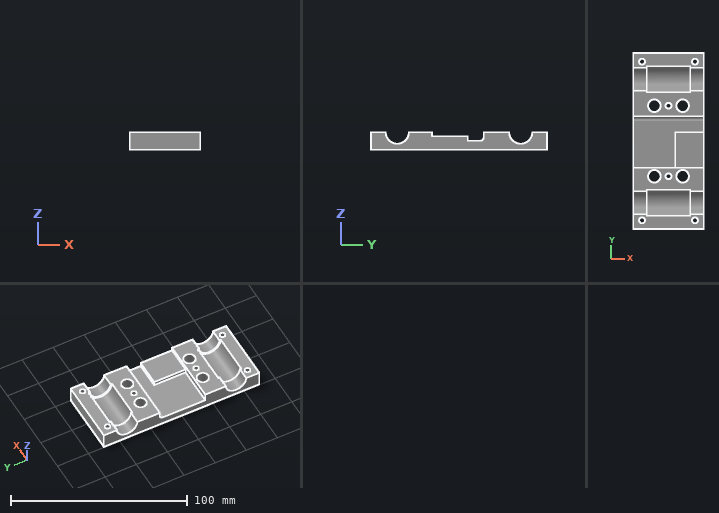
import cadquery as cq

width = 40.0
length = 100.0
height = 10.0

seat_y = 35.0
seat_diameter = 13.0
bearing_diameter = 14.8
bearing_length = 24.5

channel_back_y = 14.0
channel_front_y = -15.2
channel_floor_z = 5.2
channel_fillet = 2.0
step_left_x = 3.7
step_back_y = 5.0
step_top_z = 7.8

corner_hole_diameter = 3.2
corner_hole_x = 15.0
corner_hole_y = 45.0
hole_row_y = 20.0
large_hole_diameter = 7.0
large_hole_x = 8.0
centre_hole_diameter = 3.2


def cross_cylinder(diameter, span, y):
    """Cylinder along X, centred on X = 0 with its axis on the top face."""
    return (
        cq.Workplane("YZ", origin=(-span / 2, y, height))
        .circle(diameter / 2)
        .extrude(span)
    )


def vertical_holes(diameter, points):
    """Cutters through the full plate height."""
    return cq.Workplane("XY").pushPoints(points).circle(diameter / 2).extrude(height)


def channel():
    """Channel cutter with a rounded bottom edge along its back wall."""
    channel_length = channel_back_y - channel_front_y
    return (
        cq.Workplane("XY", origin=(0, channel_front_y, channel_floor_z))
        .box(width, channel_length, height - channel_floor_z, centered=(True, False, False))
        .edges(">Y and <Z")
        .fillet(channel_fillet)
    )


def step():
    """Raised step against the front wall and right side of the channel."""
    return cq.Workplane("XY", origin=(step_left_x, channel_front_y, channel_floor_z)).box(
        width / 2 - step_left_x,
        step_back_y - channel_front_y,
        step_top_z - channel_floor_z,
        centered=False,
    )


result = cq.Workplane("XY").box(width, length, height, centered=(True, True, False))
result = result.cut(channel()).union(step())

for side in (-1, 1):
    result = result.cut(cross_cylinder(seat_diameter, width, side * seat_y))
    result = result.cut(cross_cylinder(bearing_diameter, bearing_length, side * seat_y))

    corner_points = [(x, side * corner_hole_y) for x in (-corner_hole_x, corner_hole_x)]
    large_points = [(x, side * hole_row_y) for x in (-large_hole_x, large_hole_x)]
    result = result.cut(vertical_holes(corner_hole_diameter, corner_points))
    result = result.cut(vertical_holes(large_hole_diameter, large_points))
    result = result.cut(vertical_holes(centre_hole_diameter, [(0, side * hole_row_y)]))